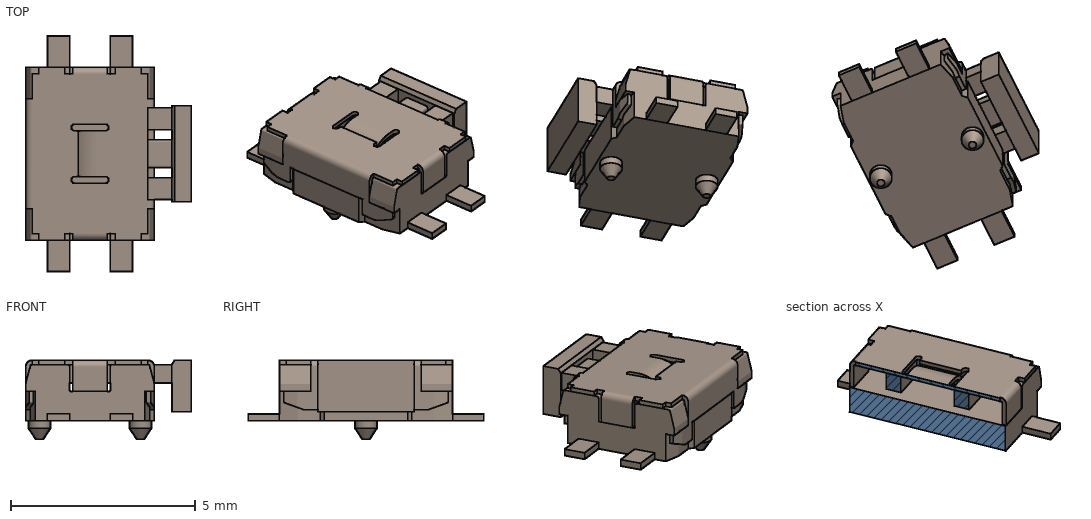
import cadquery as cq
import math


body_x = 3.495
body_y = 4.7
total_y = 6.4
top_z = 1.65
sheet = 0.12
bend_inner = 0.06
small_radius = 0.04
ledge_z = 0.8

flange_y = 2.995
tab_x = 0.95
tab_notch_x = 1.37
corner_notch_x = 0.17
lobe_gap_y = 2.495
lobe_end_y = 2.23
lobe_knee_y = 1.68
lobe_low_z = 0.3
lobe_end_z = 0.5
tongue_slot_length = 1.005
tongue_slot_width = 0.18
tongue_y = 1.24
tongue_root_x = 0.185
tongue_hole_x = -0.32
tongue_radius = 0.8
tongue_angle = math.radians(35)
tongue_tip_length = 0.095

wrap_angle = math.radians(15)
wrap_start_y = 1.85
boss_flat_y = 2.25
taper_start_z = 1.0
taper_inset = 0.135
channel_x = 1.1
peg_x = 1.37
peg_radius = 0.3
peg_tip_radius = 0.1
peg_straight = 0.2
peg_length = 0.5

arm_low_z = 1.025
slider_y = 2.495
slider_back_x = -0.77
slider_front_x = 1.41
slider_window_x = 1.025
outer_arm_y = 0.6
middle_arm_y = 0.76
middle_arm_z = 1.38
middle_arm_rounding = 0.065
head_back_x = 2.22
head_thickness = 0.53
head_y = 2.61
head_low_z = 0.25
head_bevel_x = 0.08
head_bevel_z = 0.115

terminal_x = 0.85
terminal_width = 0.61
terminal_thickness = 0.19

half_x = body_x / 2
half_y = body_y / 2
bend_outer = bend_inner + sheet
housing_z = top_z - sheet
core_half_x = half_x - sheet
sheet_half_x = half_x - bend_outer
sheet_half_y = half_y - bend_outer
wrap_inset = (half_y - wrap_start_y) * math.tan(wrap_angle)
slot_y = (tongue_y + tongue_slot_width) / 2
slider_window_y = tongue_y + 2 * tongue_slot_width


def block(x0, x1, y0, y1, z0, z1):
    """Box between the given limits."""
    return cq.Workplane("XY").box(x1 - x0, y1 - y0, z1 - z0, centered=False).translate((x0, y0, z0))


def centred_block(size_x, size_y, z0, z1):
    """Box centred on the Z axis."""
    return block(-size_x / 2, size_x / 2, -size_y / 2, size_y / 2, z0, z1)


def core_plan(offset=0.0):
    """Prism below the ledge with slanted, softly bent corners, grown outward by offset."""
    end_x = core_half_x - wrap_inset
    outline = [
        (core_half_x, -wrap_start_y),
        (core_half_x, wrap_start_y),
        (end_x, half_y),
        (-end_x, half_y),
        (-core_half_x, wrap_start_y),
        (-core_half_x, -wrap_start_y),
        (-end_x, -half_y),
        (end_x, -half_y),
    ]
    bend_lines = cq.selectors.BoxSelector(
        (-half_x, -half_y + small_radius, -0.065), (half_x, half_y - small_radius, ledge_z + 0.065)
    )
    core = cq.Workplane("XY").polyline(outline).close().extrude(ledge_z)
    core = core.edges("|Z").edges(bend_lines).fillet(bend_inner)
    if offset == 0:
        return core
    return core.faces("<Z").wires().toPending().workplane(invert=True).offset2D(offset).extrude(ledge_z)


def side_boss(side, height):
    """Boss level with the outside of the cover, with 45 degree ends."""
    outer_y = boss_flat_y / 2
    inner_y = outer_y + sheet
    outline = [
        (side * core_half_x, -inner_y),
        (side * half_x, -outer_y),
        (side * half_x, outer_y),
        (side * core_half_x, inner_y),
    ]
    return cq.Workplane("XY").polyline(outline).close().extrude(height)


def upper_housing():
    """Part above the ledge: tapered at both ends, set back behind the cover flanges."""
    top_x = half_x - taper_inset
    outline = [
        (-half_x, ledge_z),
        (half_x, ledge_z),
        (half_x, taper_start_z),
        (top_x, housing_z),
        (-top_x, housing_z),
        (-half_x, taper_start_z),
    ]
    tapered = cq.Workplane("XZ").polyline(outline).close().extrude(half_y, both=True)
    tapered = tapered.faces(">Z").edges("|Y").fillet(bend_inner)
    middle = centred_block(2 * core_half_x, flange_y, ledge_z, housing_z)
    middle = middle.faces(">Z").edges("|Y").fillet(bend_inner)
    return tapered.cut(centred_block(body_x, flange_y, ledge_z, top_z)).union(middle)


def tab_channel():
    """Channel along Y with rounded floor corners and flared upper edges."""
    half = channel_x / 2
    flare = bend_inner
    channel = centred_block(channel_x, body_y, ledge_z, housing_z)
    channel = channel.faces("<Z").edges("|Y").fillet(small_radius)
    for side in (-1, 1):
        lip = (
            cq.Workplane("XZ")
            .moveTo(side * half, housing_z - flare)
            .radiusArc((side * (half + flare), housing_z), side * flare)
            .lineTo(side * half, housing_z)
            .close()
            .extrude(half_y, both=True)
        )
        channel = channel.union(lip)
    return channel


def slider_pocket():
    """Pocket for the slider, open at the top and toward +X."""
    return block(slider_back_x, half_x, -slider_y / 2, slider_y / 2, arm_low_z, housing_z)


def locating_peg(x):
    """Round peg with a conical tip below the housing."""
    outline = [
        (0, 0),
        (peg_radius, 0),
        (peg_radius, -peg_straight),
        (peg_tip_radius, -peg_length),
        (0, -peg_length),
    ]
    peg = cq.Workplane("XZ").polyline(outline).close().revolve(360, (0, 0), (0, 1))
    return peg.translate((x, 0, 0))


def make_housing():
    housing = core_plan().union(upper_housing())
    housing = housing.union(side_boss(-1, ledge_z)).union(side_boss(1, arm_low_z))
    housing = housing.cut(tab_channel()).cut(slider_pocket())
    for x in (-peg_x, peg_x):
        housing = housing.union(locating_peg(x))
    return housing


def folded_strip(size_x, size_y, fold_axis):
    """Strip over the housing with both ends folded down to the ledge about fold_axis."""
    outer = centred_block(size_x, size_y, ledge_z, top_z)
    outer = outer.faces(">Z").edges("|" + fold_axis).fillet(bend_outer)
    if fold_axis == "Y":
        inner = centred_block(size_x - 2 * sheet, size_y, ledge_z, housing_z)
    else:
        inner = centred_block(size_x, size_y - 2 * sheet, ledge_z, housing_z)
    inner = inner.faces(">Z").edges("|" + fold_axis).fillet(bend_inner)
    return outer.cut(inner)


def top_sheet():
    """Flat top with notched corners and a relief notch for each end tab."""
    corner_x = sheet_half_x - corner_notch_x
    notch_half = tab_notch_x / 2
    sheet_top = centred_block(2 * sheet_half_x, 2 * sheet_half_y, housing_z, top_z)
    for side in (-1, 1):
        x0, x1 = sorted((side * notch_half, side * corner_x))
        sheet_top = sheet_top.union(block(x0, x1, -half_y, half_y, housing_z, top_z))
    return sheet_top


def lobe_outline(side):
    """Side outline of the lobes at one Y end, running across the whole width."""
    outline = [
        (side * lobe_gap_y / 2, ledge_z),
        (side * lobe_gap_y / 2, lobe_low_z),
        (side * lobe_knee_y, lobe_low_z),
        (side * lobe_end_y, lobe_end_z),
        (side * lobe_end_y, ledge_z),
    ]
    lobe = cq.Workplane("YZ").polyline(outline).close().extrude(half_x, both=True)
    inner_corner = cq.selectors.NearestToPointSelector((0, side * lobe_gap_y / 2, lobe_low_z))
    return lobe.edges("|X").edges(inner_corner).fillet(small_radius)


def lobe_end_trim():
    """Prism whose notched Y ends cut the lobes square to their slanted sheet."""
    slope = math.tan(wrap_angle)
    outer_face_x = core_half_x - (lobe_end_y - wrap_start_y) * slope + sheet / math.cos(wrap_angle)
    middle_y = lobe_end_y - outer_face_x * slope
    side_y = middle_y + half_x * slope
    outline = [
        (half_x, -side_y),
        (half_x, side_y),
        (0, middle_y),
        (-half_x, side_y),
        (-half_x, -side_y),
        (0, -middle_y),
    ]
    return cq.Workplane("XY").polyline(outline).close().extrude(ledge_z)


def retaining_lobes():
    """Lower ends of the flanges, bent around the slanted corners of the housing."""
    wrapped_sheet = core_plan(sheet).cut(core_plan())
    lobes = wrapped_sheet.intersect(lobe_outline(1).union(lobe_outline(-1)))
    lobes = lobes.intersect(lobe_end_trim())
    for side_x in (-1, 1):
        for side_y in (-1, 1):
            end_corner = (side_x * core_half_x, side_y * lobe_end_y, lobe_end_z)
            lobes = lobes.edges(cq.selectors.NearestToPointSelector(end_corner)).fillet(small_radius)
    return lobes


def tongue_opening():
    """Two round-ended slots and the opening between them."""
    slots = (
        cq.Workplane("XY", origin=(0, 0, housing_z))
        .pushPoints([(0, -slot_y), (0, slot_y)])
        .slot2D(tongue_slot_length, tongue_slot_width)
        .extrude(sheet)
    )
    opening = block(tongue_hole_x, tongue_root_x, -tongue_y / 2, tongue_y / 2, housing_z, top_z)
    return slots.union(opening)


def tongue():
    """Spring tongue curving down toward -X."""
    centre_z = top_z - tongue_radius

    def arc_point(radius, angle, beyond=0):
        """Point on the arc, or that far beyond it along its tangent."""
        x = tongue_root_x - radius * math.sin(angle) - beyond * math.cos(angle)
        z = centre_z + radius * math.cos(angle) - beyond * math.sin(angle)
        return (x, z)

    lower_radius = tongue_radius - sheet
    return (
        cq.Workplane("XZ")
        .moveTo(*arc_point(tongue_radius, 0))
        .threePointArc(arc_point(tongue_radius, tongue_angle / 2), arc_point(tongue_radius, tongue_angle))
        .lineTo(*arc_point(tongue_radius, tongue_angle, tongue_tip_length))
        .lineTo(*arc_point(lower_radius, tongue_angle, tongue_tip_length))
        .lineTo(*arc_point(lower_radius, tongue_angle))
        .threePointArc(arc_point(lower_radius, tongue_angle / 2), arc_point(lower_radius, 0))
        .close()
        .extrude(tongue_y / 2, both=True)
    )


def make_cover():
    cover = top_sheet().union(folded_strip(body_x, flange_y, "Y")).union(folded_strip(tab_x, body_y, "X"))
    cover = cover.union(retaining_lobes())
    arm_window = block(sheet_half_x, half_x, -slider_y / 2, slider_y / 2, ledge_z, top_z)
    return cover.cut(arm_window).cut(tongue_opening()).union(tongue())


def actuator_head():
    """Push plate with a bevel along its upper inner edge."""
    front_x = head_back_x + head_thickness
    outline = [
        (head_back_x, head_low_z),
        (front_x, head_low_z),
        (front_x, top_z),
        (head_back_x + head_bevel_x, top_z),
        (head_back_x, top_z - head_bevel_z),
    ]
    return cq.Workplane("XZ").polyline(outline).close().extrude(head_y / 2, both=True)


def make_actuator():
    half_slider = slider_y / 2
    slider = block(slider_back_x, slider_front_x, -half_slider, half_slider, arm_low_z, housing_z)
    slider = slider.cut(centred_block(slider_window_x, slider_window_y, arm_low_z, housing_z))
    actuator = slider.union(actuator_head())
    for y0 in (-half_slider, half_slider - outer_arm_y):
        actuator = actuator.union(
            block(slider_front_x, head_back_x, y0, y0 + outer_arm_y, arm_low_z, housing_z)
        )
    half_middle = middle_arm_y / 2
    middle_arm = block(slider_front_x, head_back_x, -half_middle, half_middle, arm_low_z, middle_arm_z)
    return actuator.union(middle_arm.faces(">Z").edges("|X").fillet(middle_arm_rounding))


def make_terminal(side_x, side_y):
    """Flat solder terminal standing out from one end face of the housing."""
    length = (total_y - body_y) / 2
    centre_y = side_y * (half_y + length / 2)
    terminal = centred_block(terminal_width, length, 0, terminal_thickness)
    return terminal.translate((side_x * terminal_x, centre_y, 0))


housing = make_housing()
cover = make_cover()
actuator = make_actuator()
terminals = []
for side_x in (-1, 1):
    for side_y in (-1, 1):
        terminals.append(make_terminal(side_x, side_y).val())

result = cq.Compound.makeCompound([housing.val(), cover.val(), actuator.val(), *terminals])